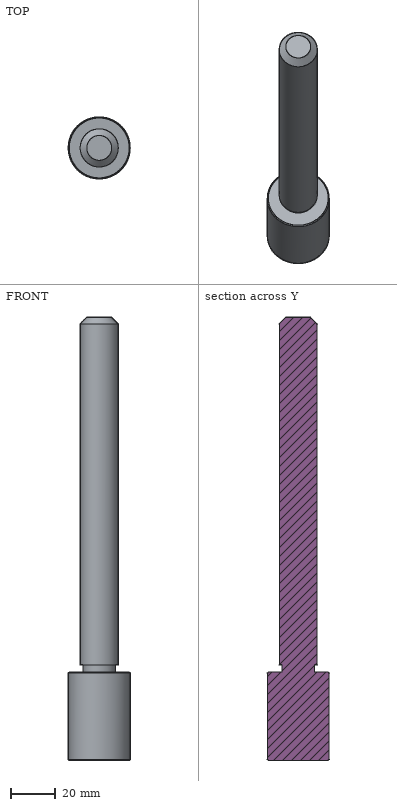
import cadquery as cq

total_length = 200.0
head_diameter = 28.0
head_length = 40.0
head_chamfer = 0.5

neck_diameter = 14.8
neck_length = 3.2

shank_diameter = 17.2
tip_diameter = 11.2
tip_length = 3.0


def cylinder(diameter, bottom, top):
    """Upright cylinder on the Z axis between two heights."""
    return cq.Workplane("XY").workplane(offset=bottom).circle(diameter / 2).extrude(top - bottom)


head = cylinder(head_diameter, 0, head_length).faces("<Z or >Z").chamfer(head_chamfer)

neck_top = head_length + neck_length
neck = cylinder(neck_diameter, head_length, neck_top)

tip_inset = (shank_diameter - tip_diameter) / 2
shank = (
    cylinder(shank_diameter, neck_top, total_length)
    .faces(">Z")
    .edges()
    .chamfer(tip_length, tip_inset)
)

result = head.union(neck).union(shank)